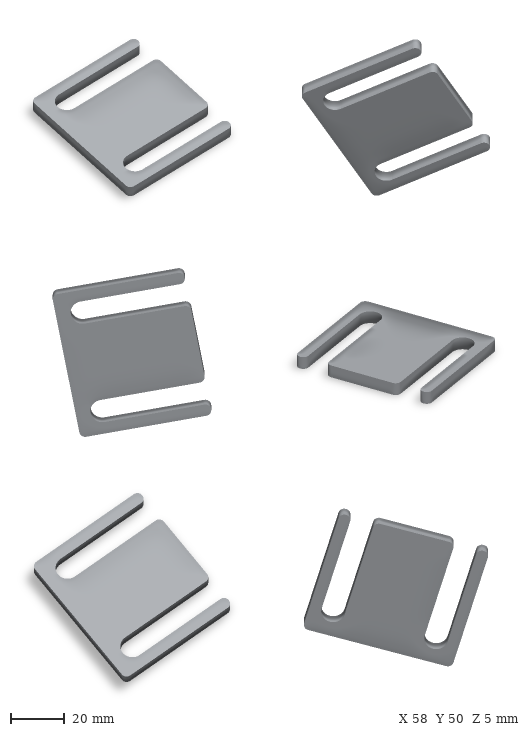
import cadquery as cq

width = 58.0
depth = 50.0
thickness = 5.0
arm_width = 4.5
slot_width = 8.95
base_depth = 5.55
corner_radius = 2.2

slot_radius = slot_width / 2
slot_offset = width / 2 - arm_width - slot_radius
slot_end_center_y = -depth / 2 + base_depth + slot_radius
slot_straight_length = depth / 2 - slot_end_center_y


def open_slot(center_x):
    """Through slot with a round end, open at the +Y edge."""
    straight = (
        cq.Workplane("XY")
        .center(center_x, slot_end_center_y + slot_straight_length / 2)
        .rect(slot_width, slot_straight_length)
        .extrude(thickness)
    )
    round_end = (
        cq.Workplane("XY")
        .center(center_x, slot_end_center_y)
        .circle(slot_radius)
        .extrude(thickness)
    )
    return straight.union(round_end)


plate = cq.Workplane("XY").rect(width, depth).extrude(thickness)
for side in (-1, 1):
    plate = plate.cut(open_slot(side * slot_offset))

plate = plate.faces("<Y or >Y").edges("|Z").fillet(corner_radius)

result = plate